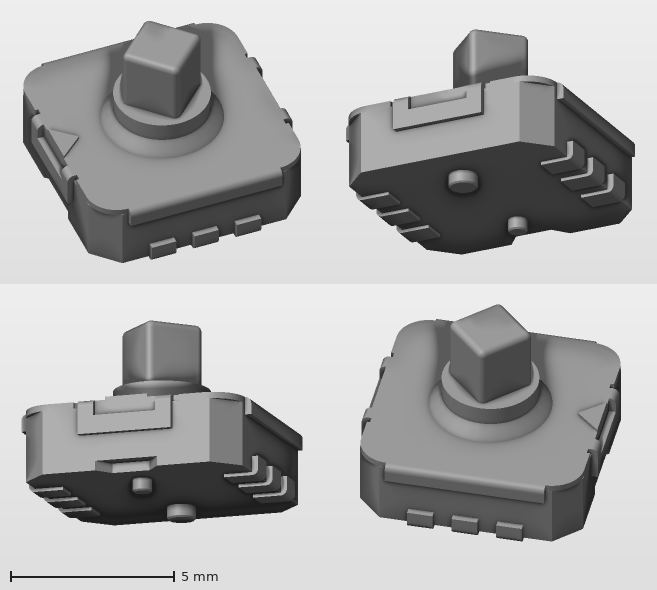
import cadquery as cq


body_size = 7.0
half_body = body_size / 2
housing_height = 2.0
housing_chamfer = 0.8
notch_mouth_width = 2.0
notch_inner_width = 1.2
notch_depth = 0.5
notch_height = 0.3

pin_length = 0.4
pin_chamfer = 0.05
pin_offset = 1.9
large_pin_diameter = 0.9
small_pin_diameter = 0.6

plate_thickness = 0.2
cover_top = housing_height + plate_thickness
plate_corner_radius = 1.0
flap_thickness = 0.21
side_flap_width = body_size - 2 * plate_corner_radius
side_flap_drop = 0.55
end_flap_width = 3.0
end_flap_drop = 1.07
window_width = 2.0
window_drop = 0.5
relief_width = 0.2
relief_depth = 0.1

mark_width = 1.34
mark_length = 0.76
mark_height = 0.1

skirt_diameter = 3.8
collar_diameter = 3.0
collar_bottom = 2.6
collar_top = 3.2
stick_top = 5.2
stick_side = 1.9
stick_fillet = 0.2
stick_turn = 45

terminal_width = 0.8
terminal_pitch = 1.4
terminals_per_side = 3
terminal_side_thickness = 0.2
terminal_foot_thickness = 0.1
terminal_top = 0.5
terminal_foot_end = 2.6
terminal_bend_radius = 0.2


def make_pin(diameter, y):
    """Locating pin below the housing, with a chamfered tip."""
    pin = cq.Workplane("XY").center(0, y).circle(diameter / 2).extrude(-pin_length)
    return pin.faces("<Z").chamfer(pin_chamfer)


def make_housing():
    block = (
        cq.Workplane("XY")
        .rect(body_size, body_size)
        .extrude(housing_height)
        .edges("|Z")
        .chamfer(housing_chamfer)
    )
    notch = (
        cq.Workplane("XY")
        .moveTo(-notch_mouth_width / 2, -half_body)
        .lineTo(notch_mouth_width / 2, -half_body)
        .lineTo(notch_inner_width / 2, -half_body + notch_depth)
        .lineTo(-notch_inner_width / 2, -half_body + notch_depth)
        .close()
        .extrude(notch_height)
    )
    large_pin = make_pin(large_pin_diameter, pin_offset)
    small_pin = make_pin(small_pin_diameter, -pin_offset)
    return block.cut(notch).union(large_pin).union(small_pin)


def make_flap(width, drop):
    """Flap on the +X edge of the cover, bent down over a quarter-round outer edge."""
    outer_x = half_body + flap_thickness
    bend_end_z = cover_top - flap_thickness
    bottom_z = cover_top - drop
    return (
        cq.Workplane("XZ", origin=(0, width / 2, 0))
        .moveTo(half_body, cover_top)
        .radiusArc((outer_x, bend_end_z), flap_thickness)
        .lineTo(outer_x, bottom_z)
        .lineTo(half_body, bottom_z)
        .close()
        .extrude(width)
    )


def make_end_flap():
    """Flap with a window that is open at the top."""
    window = (
        cq.Workplane("XY")
        .box(flap_thickness, window_width, window_drop, centered=(False, True, False))
        .translate((half_body, 0, cover_top - window_drop))
    )
    return make_flap(end_flap_width, end_flap_drop).cut(window)


def make_cover_plate():
    plate = (
        cq.Workplane("XY", origin=(0, 0, housing_height))
        .rect(body_size, body_size)
        .extrude(plate_thickness)
        .edges("|Z")
        .fillet(plate_corner_radius)
    )
    relief_x = (end_flap_width + relief_width) / 2
    relief_y = half_body - relief_depth / 2
    relief_centers = [(sx * relief_x, sy * relief_y) for sx in (-1, 1) for sy in (-1, 1)]
    reliefs = (
        cq.Workplane("XY", origin=(0, 0, housing_height))
        .pushPoints(relief_centers)
        .rect(relief_width, relief_depth)
        .extrude(plate_thickness)
    )
    return plate.cut(reliefs)


def make_mark():
    return (
        cq.Workplane("XY", origin=(0, 0, cover_top))
        .moveTo(-mark_width / 2, -half_body)
        .lineTo(mark_width / 2, -half_body)
        .lineTo(0, -half_body + mark_length)
        .close()
        .extrude(mark_height)
    )


def make_stick():
    """Conical skirt, round collar and a square stick turned onto its corner."""
    base = (
        cq.Workplane("XZ")
        .moveTo(0, cover_top)
        .lineTo(skirt_diameter / 2, cover_top)
        .lineTo(collar_diameter / 2, collar_bottom)
        .lineTo(collar_diameter / 2, collar_top)
        .lineTo(0, collar_top)
        .close()
        .revolve(360, (0, 0), (0, 1))
    )
    shaft = (
        cq.Workplane("XY", origin=(0, 0, collar_top))
        .rect(stick_side, stick_side)
        .extrude(stick_top - collar_top)
        .edges("|Z or >Z")
        .fillet(stick_fillet)
        .rotate((0, 0, 0), (0, 0, 1), stick_turn)
    )
    return base.union(shaft)


def make_cover():
    cover = make_cover_plate()
    side_flap = make_flap(side_flap_width, side_flap_drop)
    end_flap = make_end_flap()
    for side in range(2):
        side_angle = 180 * side
        cover = cover.union(side_flap.rotate((0, 0, 0), (0, 0, 1), side_angle))
        cover = cover.union(end_flap.rotate((0, 0, 0), (0, 0, 1), side_angle + 90))
    return cover.union(make_mark()).union(make_stick())


def make_terminal(side, y):
    """L-shaped strip that wraps the lower edge of a side wall (side is -1 or 1)."""
    outer_x = half_body + terminal_side_thickness
    profile = (
        cq.Workplane("XZ", origin=(0, terminal_width / 2, 0))
        .moveTo(half_body, 0)
        .lineTo(half_body, terminal_top)
        .lineTo(outer_x, terminal_top)
        .lineTo(outer_x, -terminal_foot_thickness)
        .lineTo(terminal_foot_end, -terminal_foot_thickness)
        .lineTo(terminal_foot_end, 0)
        .close()
    )
    strip = profile.extrude(terminal_width)
    strip = strip.edges(">X and <Z").fillet(terminal_bend_radius)
    if side < 0:
        strip = strip.rotate((0, 0, 0), (0, 0, 1), 180)
    return strip.translate((0, y, 0))


housing = make_housing()
cover = make_cover()

terminals = []
for side in (-1, 1):
    for index in range(terminals_per_side):
        y = (index - (terminals_per_side - 1) / 2) * terminal_pitch
        terminals.append(make_terminal(side, y).val())

result = cq.Compound.makeCompound([housing.val(), cover.val(), *terminals])